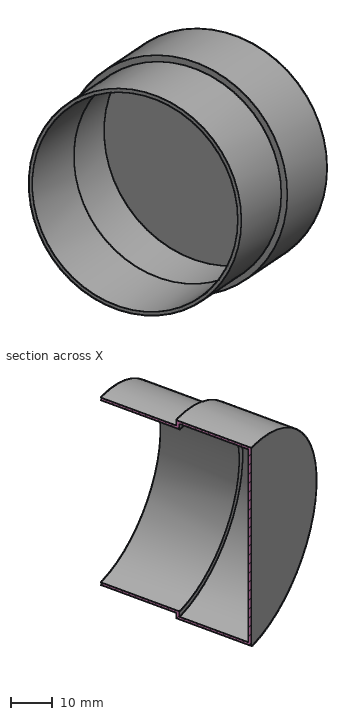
import cadquery as cq

collar_diameter = 60.2
spigot_diameter = 56.95
total_length = 42.0
wall = 0.95

spigot_length = total_length / 2
bore_diameter = spigot_diameter - 2 * wall
chamber_diameter = collar_diameter - 2 * wall
chamber_start = spigot_length + wall
floor_start = total_length - wall


def cylinder_along_y(diameter, start_y, end_y):
    """Solid cylinder centred on the Y axis between two Y positions."""
    plane = cq.Workplane("XZ", origin=(0, start_y, 0))
    return plane.circle(diameter / 2).extrude(start_y - end_y)


spigot = cylinder_along_y(spigot_diameter, 0, spigot_length)
collar = cylinder_along_y(collar_diameter, spigot_length, total_length)

bore = cylinder_along_y(bore_diameter, 0, floor_start)
chamber = cylinder_along_y(chamber_diameter, chamber_start, floor_start)

result = spigot.union(collar).cut(bore).cut(chamber)